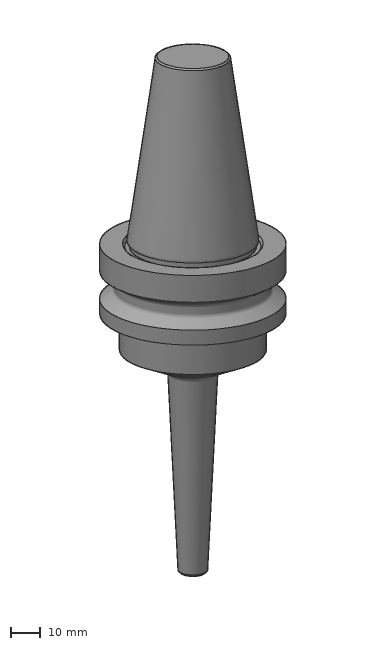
import cadquery as cq
import math

total_length = 185.4
gauge_height = 120.0
flange_top = 118.1
flange_bottom = 93.0
body_bottom = 80.1

gauge_radius = 22.2
taper_slope = 7 / 48
taper_end_radius = gauge_radius - (total_length - gauge_height) * taper_slope
taper_end_chamfer = 0.5
gauge_land = 0.7
relief_radius = 21.5

flange_radius = 31.5
recess_radius = 23.7
recess_depth = 1.0
recess_floor_radius = 23.0
groove_center = 103.5
groove_floor_radius = 26.5
groove_mouth_half_width = 5.0
groove_flank_angle = math.radians(30)
groove_fillet = 1.3
groove_depth = flange_radius - groove_floor_radius
groove_floor_half_width = groove_mouth_half_width - groove_depth * math.tan(groove_flank_angle)

body_radius = 24.8
arm_top = 72.5
arm_top_radius = 8.5
arm_fillet = 1.9
tip_radius = 5.0
tip_chamfer = 1.0


def revolve_profile(points):
    """Revolve a closed (radius, height) outline around the Z axis."""
    return cq.Workplane("XZ").polyline(points).close().revolve(360, (0, 0), (0, 1))


def make_taper():
    gauge_land_bottom = gauge_height - gauge_land
    taper = revolve_profile([
        (0, flange_top - recess_depth),
        (relief_radius, flange_top - recess_depth),
        (relief_radius, gauge_land_bottom),
        (gauge_radius, gauge_land_bottom),
        (gauge_radius, gauge_height),
        (taper_end_radius, total_length),
        (0, total_length),
    ])
    return taper.faces(">Z").edges().chamfer(taper_end_chamfer)


def make_flange():
    flange = revolve_profile([
        (0, flange_bottom),
        (flange_radius, flange_bottom),
        (flange_radius, groove_center - groove_mouth_half_width),
        (groove_floor_radius, groove_center - groove_floor_half_width),
        (groove_floor_radius, groove_center + groove_floor_half_width),
        (flange_radius, groove_center + groove_mouth_half_width),
        (flange_radius, flange_top),
        (recess_radius, flange_top),
        (recess_floor_radius, flange_top - recess_depth),
        (0, flange_top - recess_depth),
    ])
    floor_edges = flange.edges(cq.selectors.RadiusNthSelector(2))
    return floor_edges.fillet(groove_fillet)


def make_body_and_arm():
    body = revolve_profile([
        (0, 0),
        (tip_radius, 0),
        (arm_top_radius, arm_top),
        (body_radius, body_bottom),
        (body_radius, flange_bottom),
        (0, flange_bottom),
    ])
    body = body.edges(cq.selectors.RadiusNthSelector(1)).fillet(arm_fillet)
    return body.faces("<Z").edges().chamfer(tip_chamfer)


result = make_body_and_arm().union(make_flange()).union(make_taper())